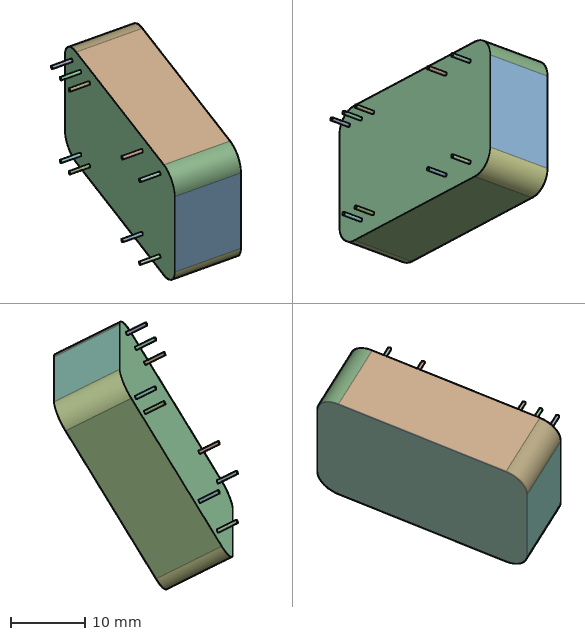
import cadquery as cq

case_length = 31.75
case_height = 20.32
case_depth = 10.15
corner_radius = 3.2
back_edge_radius = 0.05

pin_length = 3.05
pin_diameter = 0.5
pin_pitch = 2.55
first_pin_x = -13.87
row_offset = 3 * pin_pitch
upper_row_steps = (0, 1, 2, 8, 10)
lower_row_steps = (1, 2, 8, 10)


def make_case():
    """Rounded box with its front face on Y = 0 and a softened back rim."""
    block = cq.Workplane("XY").box(case_length, case_depth, case_height, centered=(True, False, True))
    return block.edges("|Y").fillet(corner_radius).faces(">Y").edges().fillet(back_edge_radius)


def make_pin_row(steps, z):
    """Round pins standing forward from the front face at the given grid steps."""
    centres = [(first_pin_x + step * pin_pitch, z) for step in steps]
    return cq.Workplane("XZ").pushPoints(centres).circle(pin_diameter / 2).extrude(pin_length)


result = (
    make_case()
    .union(make_pin_row(upper_row_steps, row_offset))
    .union(make_pin_row(lower_row_steps, -row_offset))
)